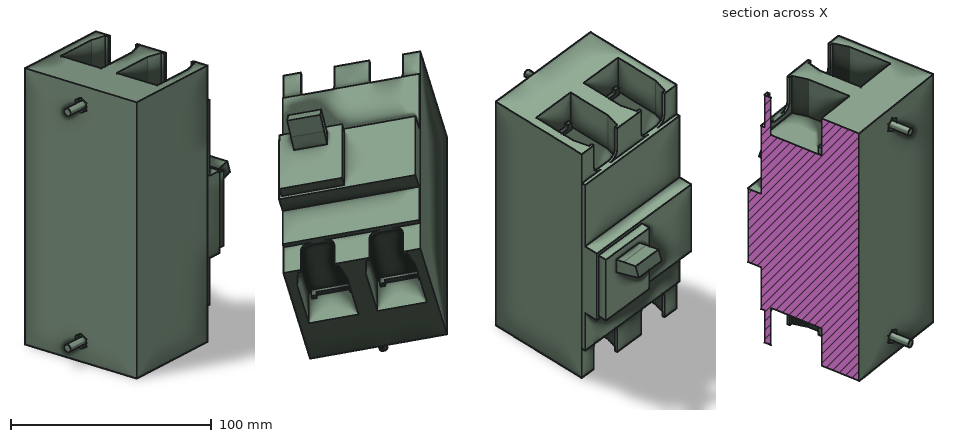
import cadquery as cq
import math


HEIGHT = 150.0
WIDTH = 70.0
BODY_DEPTH = 58.0
POLE_X = WIDTH / 4

PLATE_THICKNESS = 2.1
PLATE_HEIGHT = 111.0
COVER_INSET = 0.2
COVER_WIDTH = WIDTH - 2 * COVER_INSET
BLOCK_RISE = 8.0
BLOCK_BOTTOM = -30.3
BLOCK_TOP = 14.4
FRAME_RISE = 5.0
FRAME_WIDTH = 32.1
FRAME_MARGIN = 2.0
PLATE_FACE = BODY_DEPTH + PLATE_THICKNESS
BLOCK_FACE = PLATE_FACE + BLOCK_RISE
FRAME_FACE = BLOCK_FACE + FRAME_RISE

TOGGLE_WIDTH = 17.0
TOGGLE_REACH = 15.2
TIP_SETBACK = 2.1
TIP_TOP = 11.0
TIP_BOTTOM = 4.5
UPPER_BEND_REACH = 4.6
UPPER_BEND_Z = 8.8
LOWER_BEND_REACH = 6.9
LOWER_BEND_Z = 1.5
ROOT_TOP = 7.5
ROOT_BOTTOM = -0.9

POCKET_WIDTH = 25.4
POCKET_DEPTH = 35.1
POCKET_HEIGHT = 22.5
TAPER_DEPTH = 10.0
MOUTH_WIDTH = 20.8
LIP_THICKNESS = 1.5
OPENING_WIDTH = 17.1
OPENING_HEIGHT = (HEIGHT - PLATE_HEIGHT) / 2
OPENING_RADIUS = 5.0

BAR_WIDTH = 22.2
BAR_THICKNESS = 2.1
BAR_HEIGHT = 4.5
NOTCH_WIDTH = 17.1
NOTCH_DEPTH = 2.2
NOTCH_RADIUS = 0.6

PIN_DIAMETER = 4.0
PIN_LENGTH = 11.0
PIN_Z = 64.0
HEX_FLATS = 7.0
HEX_DEPTH = 3.0


def box(x_center, width, y_low, y_high, z_low, z_high):
    """Box centred on x_center, between the given Y and Z limits."""
    return cq.Workplane("XY").box(width, y_high - y_low, z_high - z_low).translate(
        (x_center, (y_low + y_high) / 2, (z_low + z_high) / 2)
    )


def make_toggle():
    profile = [
        (BLOCK_FACE, ROOT_BOTTOM),
        (FRAME_FACE, ROOT_BOTTOM),
        (FRAME_FACE + LOWER_BEND_REACH, LOWER_BEND_Z),
        (FRAME_FACE + TOGGLE_REACH, TIP_BOTTOM),
        (FRAME_FACE + TOGGLE_REACH - TIP_SETBACK, TIP_TOP),
        (FRAME_FACE + UPPER_BEND_REACH, UPPER_BEND_Z),
        (FRAME_FACE, ROOT_TOP),
        (BLOCK_FACE, ROOT_TOP),
    ]
    toggle = cq.Workplane("YZ").polyline(profile).close().extrude(TOGGLE_WIDTH / 2, both=True)
    return toggle.translate((POLE_X, 0, 0))


def make_pocket(x_center):
    """Space removed for one terminal at the top end."""
    rear_y = BODY_DEPTH - POCKET_DEPTH
    lip_y = BODY_DEPTH - LIP_THICKNESS
    top_z = HEIGHT / 2
    floor_z = top_z - POCKET_HEIGHT
    half_width = POCKET_WIDTH / 2
    half_mouth = MOUTH_WIDTH / 2
    outline = [
        (-half_width, rear_y),
        (half_width, rear_y),
        (half_width, BODY_DEPTH - TAPER_DEPTH),
        (half_mouth, lip_y),
        (-half_mouth, lip_y),
        (-half_width, BODY_DEPTH - TAPER_DEPTH),
    ]
    floor = cq.Workplane("XY", origin=(x_center, 0, floor_z))
    chamber = floor.polyline(outline).close().extrude(POCKET_HEIGHT)

    opening = box(x_center, OPENING_WIDTH, lip_y, BODY_DEPTH, top_z - OPENING_HEIGHT, top_z)
    opening = opening.edges("|Y and <Z").fillet(OPENING_RADIUS)

    bar_top = floor_z + BAR_HEIGHT
    bar_front = rear_y + BAR_THICKNESS
    bar = box(x_center, BAR_WIDTH, rear_y, bar_front, floor_z, bar_top)
    notch = box(x_center, NOTCH_WIDTH, rear_y, bar_front, bar_top - NOTCH_DEPTH, bar_top)
    notch = notch.edges("|Y and <Z").fillet(NOTCH_RADIUS)

    return chamber.union(opening).cut(bar.cut(notch))


def add_pin(body, z):
    """Cut the hexagonal recess, corner up, and stand a pin on its floor."""
    recess_floor = cq.Workplane("XZ", origin=(0, HEX_DEPTH, z))
    corner_diameter = HEX_FLATS / math.cos(math.pi / 6)
    quarter_turn = 90
    turned_floor = recess_floor.transformed(rotate=(0, 0, quarter_turn))
    recess = turned_floor.polygon(6, corner_diameter).extrude(HEX_DEPTH)
    pin = recess_floor.circle(PIN_DIAMETER / 2).extrude(HEX_DEPTH + PIN_LENGTH)
    return body.cut(recess).union(pin)


result = box(0, WIDTH, 0, BODY_DEPTH, -HEIGHT / 2, HEIGHT / 2)
result = result.union(box(0, COVER_WIDTH, BODY_DEPTH, PLATE_FACE, -PLATE_HEIGHT / 2, PLATE_HEIGHT / 2))
result = result.union(box(0, COVER_WIDTH, PLATE_FACE, BLOCK_FACE, BLOCK_BOTTOM, BLOCK_TOP))
result = result.union(
    box(POLE_X, FRAME_WIDTH, BLOCK_FACE, FRAME_FACE, BLOCK_BOTTOM + FRAME_MARGIN, BLOCK_TOP - FRAME_MARGIN)
)
result = result.union(make_toggle())

for pole_x in (-POLE_X, POLE_X):
    pocket = make_pocket(pole_x)
    result = result.cut(pocket)
    result = result.cut(pocket.mirror("XY"))

for pin_z in (-PIN_Z, PIN_Z):
    result = add_pin(result, pin_z)